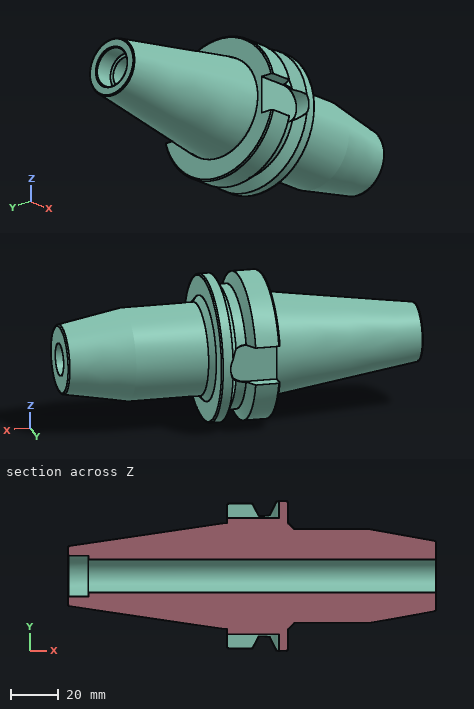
import cadquery as cq

total_length = 154.5
gauge_x = 65.3
flange_start_x = 66.7
groove_start_x = 77.4
groove_floor_start_x = 80.1
groove_floor_end_x = 84.6
groove_end_x = 87.4
flange_end_x = 92.3
neck_end_x = 95.0
nose_start_x = 126.3

taper_small_diameter = 25.3
gauge_diameter = 44.5
flange_diameter = 63.0
groove_diameter = 53.0
body_diameter = 39.5
nose_end_diameter = 29.7

flange_front_chamfer = 0.6
flange_back_chamfer = 0.6
nose_chamfer = 0.6
taper_end_chamfer = 0.5
mouth_chamfer = 0.5

slot_width = 16.2
slot_end_x = 88.5
slot_floor_offset = 24.4

mouth_diameter = 17.0
mouth_depth = 8.6
bore_diameter = 13.7


def revolve_profile(profile):
    """Turn a closed half profile of (x, radius) points into a solid around the X axis."""
    return cq.Workplane("XY").polyline(profile).close().revolve(360, (0, 0, 0), (1, 0, 0))


def make_body():
    """Revolve the outer half profile around the X axis."""
    taper_radius = taper_small_diameter / 2
    flange_radius = flange_diameter / 2
    groove_radius = groove_diameter / 2
    gauge_radius = gauge_diameter / 2
    body_radius = body_diameter / 2
    nose_radius = nose_end_diameter / 2
    profile = [
        (0, 0),
        (0, taper_radius - taper_end_chamfer),
        (taper_end_chamfer, taper_radius),
        (gauge_x, gauge_radius),
        (flange_start_x, gauge_radius),
        (flange_start_x, flange_radius - flange_front_chamfer),
        (flange_start_x + flange_front_chamfer, flange_radius),
        (groove_start_x, flange_radius),
        (groove_floor_start_x, groove_radius),
        (groove_floor_end_x, groove_radius),
        (groove_end_x, flange_radius),
        (flange_end_x - flange_back_chamfer, flange_radius),
        (flange_end_x, flange_radius - flange_back_chamfer),
        (flange_end_x, body_radius + neck_end_x - flange_end_x),
        (neck_end_x, body_radius),
        (nose_start_x, body_radius),
        (total_length - nose_chamfer, nose_radius),
        (total_length, nose_radius - nose_chamfer),
        (total_length, 0),
    ]
    return revolve_profile(profile)


def make_drive_slot(side):
    """Flat-floored slot with a round end; side is -1 for -Y and +1 for +Y."""
    half_width = slot_width / 2
    round_center_x = slot_end_x - half_width
    depth = flange_diameter / 2 - slot_floor_offset
    return (
        cq.Workplane("XZ", origin=(0, side * slot_floor_offset, 0))
        .moveTo(flange_start_x, -half_width)
        .lineTo(round_center_x, -half_width)
        .threePointArc((slot_end_x, 0), (round_center_x, half_width))
        .lineTo(flange_start_x, half_width)
        .close()
        .extrude(-side * depth)
    )


def make_bore():
    """Revolve the stepped bore, with its chamfered mouth, around the X axis."""
    mouth_radius = mouth_diameter / 2
    bore_radius = bore_diameter / 2
    profile = [
        (0, 0),
        (0, mouth_radius + mouth_chamfer),
        (mouth_chamfer, mouth_radius),
        (mouth_depth, mouth_radius),
        (mouth_depth, bore_radius),
        (total_length, bore_radius),
        (total_length, 0),
    ]
    return revolve_profile(profile)


result = make_body().cut(make_bore())
for slot_side in (-1, 1):
    result = result.cut(make_drive_slot(slot_side))